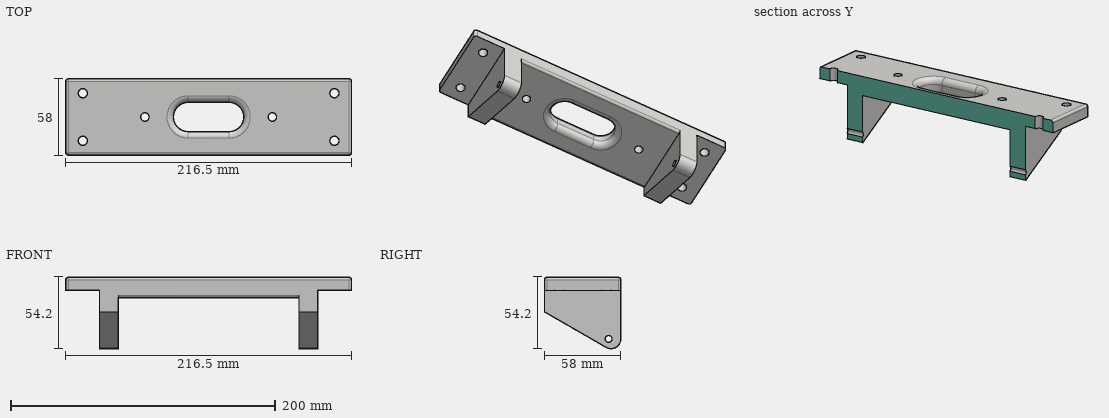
import cadquery as cq
import math

plate_length = 216.5
plate_width = 58.0
plate_thickness = 10.0
edge_radius = 2.0

beam_length = 165.5
beam_depth = 15.7

leg_thickness = 14.5
total_height = 54.22
leg_tip_radius = 7.5
leg_slope = math.radians(30)
pivot_diameter = 5.04
pivot_inset = 9.3

slot_straight = 31.0
slot_width = 22.0
slot_rounding = 5.0
rim_band = 1.0

corner_hole_diameter = 6.78
corner_hole_spacing_x = 190.5
corner_hole_spacing_y = 36.0
inner_hole_diameter = 6.25
inner_hole_spacing = 96.5

half_width = plate_width / 2
tip_center_y = half_width - leg_tip_radius
tip_center_z = leg_tip_radius - total_height


def make_plate():
    """Flat plate with rounded corners and a rounded upper rim."""
    plate = cq.Workplane("XY").box(
        plate_length, plate_width, plate_thickness, centered=(True, True, False)
    )
    plate = plate.translate((0, 0, -plate_thickness))
    return plate.edges("|Z or >Z").fillet(edge_radius)


def make_beam():
    """Block that continues the plate downwards, with its long lower edges rounded."""
    beam = cq.Workplane("XY").box(
        beam_length, plate_width, beam_depth - plate_thickness, centered=(True, True, False)
    )
    beam = beam.translate((0, 0, -beam_depth))
    return beam.edges("|X and <Z").fillet(edge_radius)


def make_leg(start_x):
    """Lug with a vertical back, a rounded tip and a sloping underside tangent to the tip."""
    slope_end_y = tip_center_y - leg_tip_radius * math.sin(leg_slope)
    slope_end_z = tip_center_z - leg_tip_radius * math.cos(leg_slope)
    front_z = slope_end_z + (slope_end_y + half_width) * math.tan(leg_slope)
    return (
        cq.Workplane("YZ", origin=(start_x, 0, 0))
        .moveTo(-half_width, -plate_thickness)
        .lineTo(-half_width, front_z)
        .lineTo(slope_end_y, slope_end_z)
        .radiusArc((half_width, tip_center_z), -leg_tip_radius)
        .lineTo(half_width, -plate_thickness)
        .close()
        .extrude(leg_thickness)
    )


def cut_slot(body):
    """Handle opening whose upper and lower rims are both rounded over."""
    opening = (
        cq.Workplane("XY")
        .slot2D(slot_straight + slot_width, slot_width)
        .extrude(-total_height)
    )
    body = body.cut(opening)
    for rim_z in (0, -beam_depth):
        rim = cq.selectors.BoxSelector(
            (-slot_straight, -slot_width, rim_z - rim_band),
            (slot_straight, slot_width, rim_z + rim_band),
        )
        body = body.edges(rim).fillet(slot_rounding)
    return body


def drill_vertical(body, points, diameter):
    """Round through holes along Z."""
    drill = cq.Workplane("XY").pushPoints(points).circle(diameter / 2).extrude(-total_height)
    return body.cut(drill)


def drill_pivot(body):
    """Pivot hole along X through both legs, level with the centre of the rounded tip."""
    drill = (
        cq.Workplane("YZ", origin=(-plate_length / 2, 0, 0))
        .center(half_width - pivot_inset, tip_center_z)
        .circle(pivot_diameter / 2)
        .extrude(plate_length)
    )
    return body.cut(drill)


corner_points = [
    (side_x * corner_hole_spacing_x / 2, side_y * corner_hole_spacing_y / 2)
    for side_x in (-1, 1)
    for side_y in (-1, 1)
]
inner_points = [(side_x * inner_hole_spacing / 2, 0) for side_x in (-1, 1)]

body = make_plate().union(make_beam())
for leg_start_x in (-beam_length / 2, beam_length / 2 - leg_thickness):
    body = body.union(make_leg(leg_start_x))
body = cut_slot(body)
body = drill_vertical(body, corner_points, corner_hole_diameter)
body = drill_vertical(body, inner_points, inner_hole_diameter)
result = drill_pivot(body)